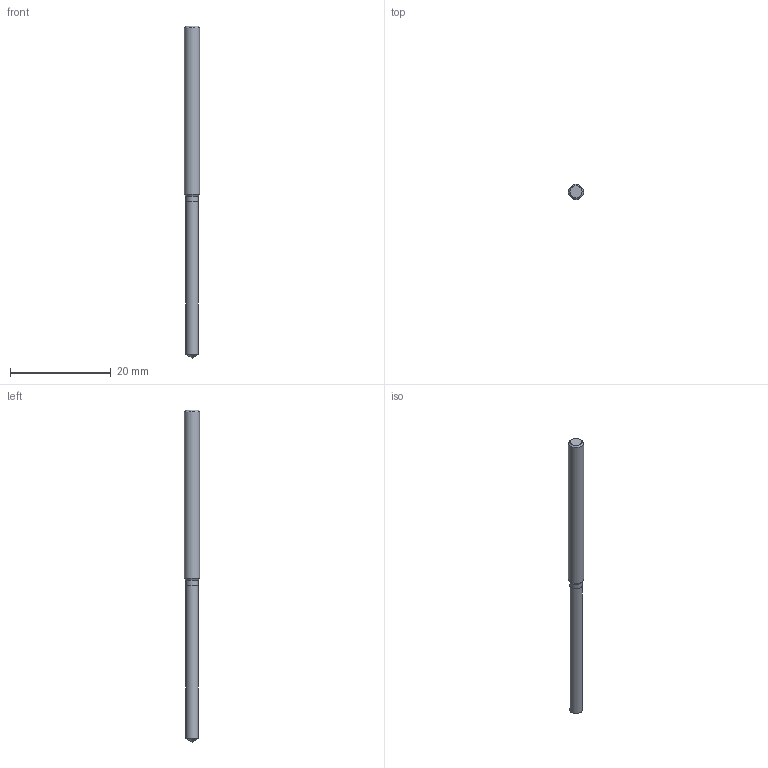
import cadquery as cq
import math

overall_length = 66.0
cutting_length = 31.1
shank_length = 33.4
shank_diameter = 3.0
drill_diameter = 2.5
end_chamfer = 0.3
point_angle = 118.0
taper_angle = 60.0

shank_radius = shank_diameter / 2
drill_radius = drill_diameter / 2


def cone_height(radius_change, full_angle):
    """Height over which a cone of the given full angle changes radius by radius_change."""
    return radius_change / math.tan(math.radians(full_angle / 2))


point_height = cone_height(drill_radius, point_angle)
taper_height = cone_height(shank_radius - drill_radius, taper_angle)
shank_bottom = overall_length - shank_length
neck_top = shank_bottom - taper_height


def revolve_about_z(outline):
    """Turn a closed (radius, height) outline a full turn around Z."""
    return cq.Workplane("XZ").polyline(outline).close().revolve(360, (0, 0), (0, 1))


def make_shank():
    """Chamfered shank that tapers down to a short plain neck."""
    return revolve_about_z([
        (0, cutting_length),
        (drill_radius, cutting_length),
        (drill_radius, neck_top),
        (shank_radius, shank_bottom),
        (shank_radius, overall_length - end_chamfer),
        (shank_radius - end_chamfer, overall_length),
        (0, overall_length),
    ])


def make_cutting_part():
    """Plain cylinder that ends in the conical drill point."""
    return revolve_about_z([
        (0, 0),
        (drill_radius, point_height),
        (drill_radius, cutting_length),
        (0, cutting_length),
    ])


shank = make_shank()
cutting_part = make_cutting_part()

result = cq.Compound.makeCompound([shank.val(), cutting_part.val()])